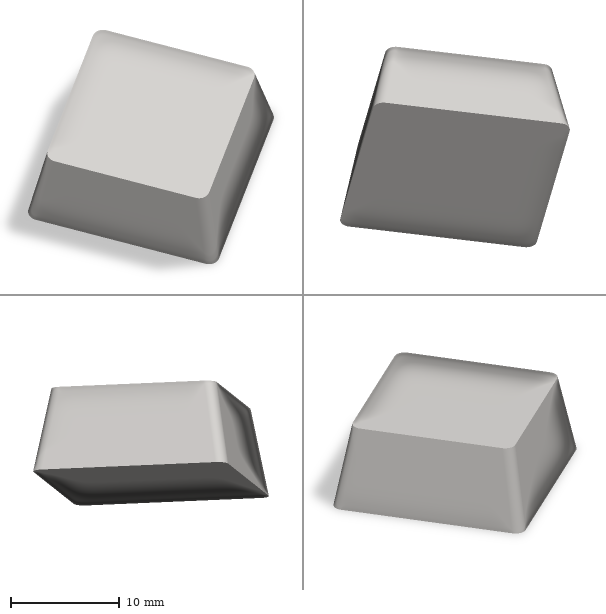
import cadquery as cq

base_side = 18.5
height = 8.0
draft_angle = 10.0
corner_radius = 1.0


def tapered_block():
    """Square frustum standing on the XY plane, centred on Z."""
    return cq.Workplane("XY").rect(base_side, base_side).extrude(height, taper=draft_angle)


def round_corners(block):
    """Round the four sloping edges, leaving the top and bottom rims sharp."""
    sloping_edges = "not (#Z)"
    return block.edges(sloping_edges).fillet(corner_radius)


result = round_corners(tapered_block())